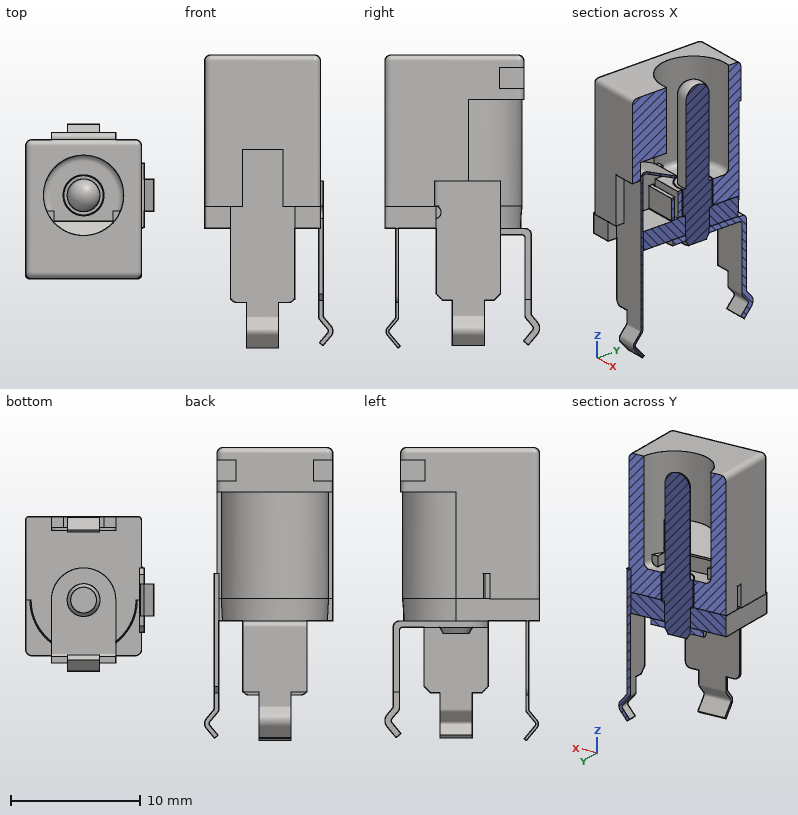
import cadquery as cq
import math


outer_length = 22.72

half_width = 4.5
front_y = -6.48
lip_back_y = 4.32
housing_top = 13.45
lip_bottom = 9.97
back_radius = 4.15
edge_radius = 0.5
bore_radius = 3.11
bore_floor = 4.1
floor_fillet = 0.5
pin_hole_radius = 1.6
guide_y = -1.23
guide_top = 5.0
notch_front_y = 2.4
notch_bottom = 10.84
notch_height = 1.64
notch_depth = 1.5
window_width = 3.14
window_top = 6.13
cavity_back_y = -1.98
cavity_top = 7.72

base_height = 1.75
seam_drop = 0.07
base_corner_radius = 0.3
base_bottom_radius = 4.07

pin_radius = 1.27
pin_top = 12.85
collar_radius = 1.52
rivet_bottom = -0.98
rivet_tip_radius = 1.0

blade_width = 5.0
stem_width = 2.5
kick_angle = math.radians(40)
kick_bend_radius = 0.35
inner_bend_radius = 0.23

back_thickness = 0.5
back_face = 4.88
back_leg_bend_radius = 0.5
back_kick_top = -6.7
back_apex = 5.75
back_foot = -9.05
back_shoulder = -5.5

side_thickness = 0.36
side_face = 4.7
side_kick_top = -6.85
side_apex = 5.63
side_foot = -9.09
side_shoulder = -5.57
side_corner_chamfer = 0.5
side_top = 3.68
relief_radius = 0.5
flange_face = 2.61
flange_slot_width = 0.5
flange_bend_radius = 0.35
flange_end_x = -3.86

front_thickness = 0.23
front_face = 5.63
front_kick_top = -6.93
front_apex = 6.52
front_foot = housing_top - outer_length
front_shoulder = -5.75
front_corner_radius = 0.5
spring_width = 4.6
spring_fold_z = 7.05
spring_fold_radius = 0.45
spring_tip_y = 2.05
spring_tip_z = 5.45

seam_front_z = base_height - seam_drop
flange_slot_back = -flange_face + flange_slot_width


def block(x0, x1, y0, y1, z0, z1):
    """Box between two opposite corners."""
    centre = ((x0 + x1) / 2, (y0 + y1) / 2, (z0 + z1) / 2)
    return cq.Workplane("XY", origin=centre).box(abs(x1 - x0), abs(y1 - y0), abs(z1 - z0))


def cylinder(radius, z0, z1):
    """Cylinder on the socket axis."""
    return cq.Workplane("XY", origin=(0, 0, z0)).circle(radius).extrude(z1 - z0)


def sheet_strip(path, outside_radii, thickness, width):
    """Bent strip whose one face follows path, a list of (y, z) points.

    The metal lies to the right of the path, and the width is centred on X = 0.
    outside_radii holds the radius on the outside of each bend along the path.
    """
    points = [cq.Vector(y, z) for y, z in path]
    steps = [(b - a).normalized() for a, b in zip(points, points[1:])]
    rights = [cq.Vector(step.y, -step.x) for step in steps]

    far = [points[0] + rights[0] * thickness]
    for point, r0, r1 in zip(points[1:], rights, rights[1:]):
        far.append(point + (r0 + r1) * (thickness / (1 + r0.dot(r1))))
    far.append(points[-1] + rights[-1] * thickness)

    outline = points + far[::-1]
    bends = [None, *outside_radii, None]
    profile = cq.Workplane("YZ").moveTo(points[0].x, points[0].y)
    corners = zip(outline, outline[1:], outline[2:] + outline[:1], (bends + bends[::-1])[1:])
    for before, corner, after, outside_radius in corners:
        if outside_radius is None:
            profile = profile.lineTo(corner.x, corner.y)
            continue
        to_before = (before - corner).normalized()
        to_after = (after - corner).normalized()
        half_angle = to_before.getAngle(to_after) / 2
        turns_left = to_before.cross(to_after).z < 0
        radius = inner_bend_radius if turns_left else outside_radius
        start = corner + to_before * (radius / math.tan(half_angle))
        end = corner + to_after * (radius / math.tan(half_angle))
        bisector = (to_before + to_after).normalized()
        middle = corner + bisector * (radius / math.sin(half_angle) - radius)
        profile = profile.lineTo(start.x, start.y)
        profile = profile.threePointArc((middle.x, middle.y), (end.x, end.y))
    return profile.close().extrude(width / 2, both=True)


def kick_path(face, kick_top, apex, foot):
    """Outer face of a snap-in foot: from the blade out to the apex, then back in to the foot."""
    apex_z = kick_top - (apex - face) / math.tan(kick_angle)
    foot_y = apex - (apex_z - foot) * math.tan(kick_angle)
    return [(face, kick_top), (apex, apex_z), (foot_y, foot)]


def kick_radii(thickness):
    """Outside radii of the two bends of a snap-in foot."""
    return [kick_bend_radius, inner_bend_radius + thickness]


def narrow_to_stem(body, shoulder):
    """Trim a terminal to the stem width everywhere below the shoulder."""
    for side in (1, -1):
        body = body.cut(block(side * stem_width / 2, side * blade_width, 0, outer_length, -outer_length, shoulder))
    return body


def shoulder_corners(body, shoulder):
    """Edges at the outer ends of the shoulder, across the thickness of the blade."""
    tolerance = 0.002
    across = body.edges("|Y").filter(lambda edge: abs(edge.Center().z - shoulder) < tolerance)
    return across.filter(lambda edge: abs(edge.Center().x) > stem_width / 2 + tolerance)


def make_housing():
    lip = block(-half_width, half_width, front_y, lip_back_y, base_height, housing_top)
    lip = lip.edges("|Z or >Z").fillet(edge_radius)
    behind = block(-half_width, half_width, 0, lip_back_y, base_height, lip_bottom)
    body = lip.cut(behind).union(cylinder(back_radius, base_height, lip_bottom))

    skirt = block(-half_width, half_width, front_y, -flange_face, seam_front_z, base_height)
    body = body.union(skirt.edges("|Z and <Y").fillet(edge_radius))

    bore = cylinder(bore_radius, bore_floor, housing_top).faces("<Z").edges().fillet(floor_fillet)
    half_gap = spring_width / 2
    for side in (1, -1):
        bore = bore.cut(block(side * half_gap, side * bore_radius, -bore_radius, guide_y, bore_floor, guide_top))
    bore = bore.union(block(-half_gap, half_gap, cavity_back_y, guide_y, bore_floor, guide_top))
    body = body.cut(bore).cut(cylinder(pin_hole_radius, base_height, bore_floor))

    notch_x = half_width - notch_depth
    notch_top = notch_bottom + notch_height
    for side in (1, -1):
        notch = block(side * notch_x, side * half_width, notch_front_y, lip_back_y, notch_bottom, notch_top)
        body = body.cut(notch)

    body = body.cut(block(-half_gap, half_gap, -front_face, cavity_back_y, 0, cavity_top))
    body = body.cut(block(-window_width / 2, window_width / 2, front_y, -front_face, 0, window_top))

    body = body.cut(block(-half_width, half_width, -flange_face, flange_slot_back, base_height, side_top))
    return body.cut(block(side_face - side_thickness, half_width, -flange_face, 0, base_height, side_top))


def make_base():
    body = block(-half_width, half_width, front_y, 0, 0, base_height)
    body = body.edges("|Z and <Y").fillet(base_corner_radius)
    body = body.union(cq.Workplane(cq.Solid.makeCone(base_bottom_radius, back_radius, base_height)))

    body = body.cut(block(-half_width, half_width, front_y, -flange_face, seam_front_z, base_height))

    half_blade = blade_width / 2
    front_recess_back = front_thickness - front_face
    body = body.cut(block(-half_blade, half_blade, front_y, front_recess_back, 0, base_height))
    body = body.cut(block(side_face - side_thickness, half_width, -half_blade, 0, 0, base_height))
    return body.cut(cylinder(pin_radius, 0, base_height))


def make_pin():
    dome_z = pin_top - pin_radius
    dome_mid = pin_radius * math.sqrt(0.5)
    return (
        cq.Workplane("XZ")
        .moveTo(0, rivet_bottom)
        .lineTo(rivet_tip_radius, rivet_bottom)
        .lineTo(pin_radius, -back_thickness)
        .lineTo(pin_radius, base_height)
        .lineTo(collar_radius, base_height)
        .lineTo(collar_radius, bore_floor)
        .lineTo(pin_radius, bore_floor)
        .lineTo(pin_radius, dome_z)
        .threePointArc((dome_mid, dome_z + dome_mid), (0, pin_top))
        .close()
        .revolve(360, (0, 0), (0, 1))
    )




def make_back_terminal():
    path = [(0, 0), (back_face, 0)]
    path += kick_path(back_face, back_kick_top, back_apex, back_foot)
    radii = [back_leg_bend_radius] + kick_radii(back_thickness)
    body = sheet_strip(path, radii, back_thickness, blade_width)
    body = body.union(cylinder(blade_width / 2, -back_thickness, 0))
    body = body.cut(cylinder(pin_radius, -back_thickness, 0))
    return narrow_to_stem(body, back_shoulder)


def make_side_terminal():
    path = [(side_face, side_top)] + kick_path(side_face, side_kick_top, side_apex, side_foot)
    body = sheet_strip(path, kick_radii(side_thickness), side_thickness, blade_width)
    body = narrow_to_stem(body, side_shoulder)
    body = shoulder_corners(body, side_shoulder).chamfer(side_corner_chamfer)

    flange_back = flange_face - side_thickness
    flange = block(flange_back, flange_face, flange_end_x, side_face, base_height, side_top)
    flange = flange.edges("|Z and >X and >Y").fillet(flange_bend_radius)
    body = body.cut(block(flange_back, flange_face, 0, side_face, base_height, side_top)).union(flange)

    relief = cq.Workplane("XZ", origin=(flange_face, 0, base_height - relief_radius)).circle(relief_radius)
    body = body.cut(relief.extrude(-outer_length))
    return body.rotate((0, 0, 0), (0, 0, 1), -90)


def make_front_terminal():
    path = [(front_face, seam_front_z)] + kick_path(front_face, front_kick_top, front_apex, front_foot)
    blade = sheet_strip(path, kick_radii(front_thickness), front_thickness, blade_width)
    blade = narrow_to_stem(blade, front_shoulder)
    blade = shoulder_corners(blade, front_shoulder).fillet(front_corner_radius)

    spring_path = [(spring_tip_y, spring_tip_z), (front_face, spring_fold_z), (front_face, seam_front_z)]
    spring = sheet_strip(spring_path, [spring_fold_radius], front_thickness, spring_width)
    return blade.union(spring).rotate((0, 0, 0), (0, 0, 1), 180)


housing = make_housing()
base = make_base()
pin = make_pin()
back_terminal = make_back_terminal()
side_terminal = make_side_terminal()
front_terminal = make_front_terminal()

result = cq.Compound.makeCompound([
    housing.solids().val(),
    base.solids().val(),
    pin.solids().val(),
    back_terminal.solids().val(),
    side_terminal.solids().val(),
    front_terminal.solids().val(),
])